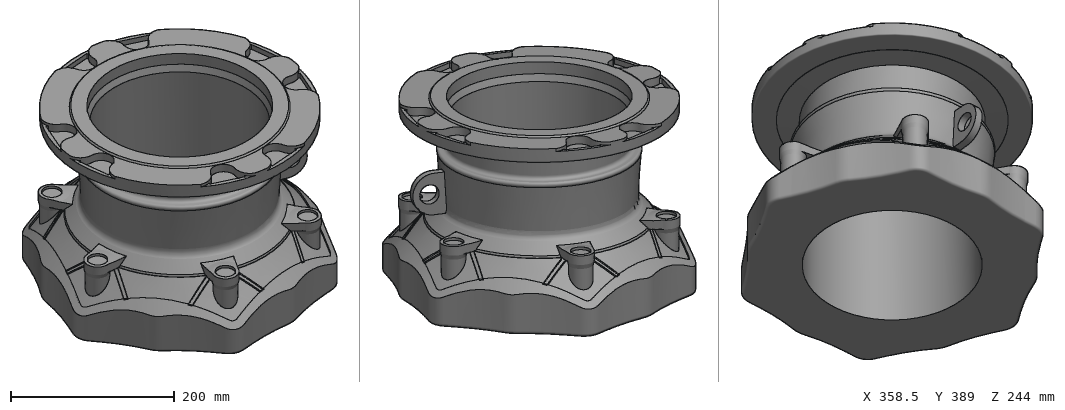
import cadquery as cq
import math

height = 244.0
bore_radius = 220.0 / 2
socket_radius = 227.0 / 2
socket_depth = 15.5
socket_cone_height = 9.0

flange_radius = 343.0 / 2
flange_top = 241.5
flange_bottom = 223.5
flange_edge_fillet = 1.5
face_radius = 133.0
face_foot_radius = 135.0
hub_radius = 141.5
hub_rim_z = 223.0
hub_bottom = 221.0

pocket_angles = [quarter + step for quarter in (0, 90, 180, 270) for step in (0, 60)]
lip_z = 237.8
pocket_floor_z = 230.8
pocket_outer = 165.8
pocket_half_width = 23.0
bulb_center = 151.5
bulb_radius = 16.0
flare_center = 147.5
flare_radius = 20.2

neck_radius = 113.5
neck_bottom = 183.5
neck_fillet = 5.5
collar_top_radius = 123.0
collar_radius = 125.7
collar_z = 175.5
barrel_top_radius = 125.0
barrel_top_z = 172.5
barrel_bottom_radius = 121.5
barrel_bottom_z = 113.5
flare_mid_radius = 122.5
flare_mid_z = 107.8
flare_foot_radius = 127.0

corner_count = 6
corner_step = 360 / corner_count
corner_angles = [corner_step / 2 + corner * corner_step for corner in range(corner_count)]
corner_tip_radius = 194.5
corner_fillet = 24.5
bump_radius = 358.5 / 2
bump_drop = 0.8
bump_half_width = 7.8
scallop_end = 68.0
base_edge_fillet = 4.0
rim_cone = 231.0
shoulder_cone = 229.5
panel_cone = 227.5
rim_inner_apothem = 163.0
rim_inner_fillet = 10.0
panel_top_radius = 140.5
panel_top_z = 89.0
panel_foot_radius = 141.5
panel_foot_z = 86.5
rib_apex_radius = 133.5
rib_half_angle = 60
rib_width = 4.3
rib_reach = 78

boss_distance = 158.5
boss_head_radius = 16.7
boss_post_radius = 15.0
boss_top = 98.5
boss_head_bottom = 87.0
boss_post_top = 81.5
boss_root_distance = 128.5
boss_root_half_width = 21.8
bolt_hole_radius = 25.0 / 2
bolt_hole_depth = 2.5
seat_foot_radius = 22.5
seat_radius = 15.0
seat_height = 1.0

lug_angle = 60
lug_thickness = 10.0
lug_z = 134.3
lug_radius = 27.2
lug_distance = 137.5
lug_root_distance = 116.8
lug_hole_radius = 25.0 / 2
lug_hole_distance = 143.2

half_corner = math.radians(corner_step / 2)


def polar(distance, offset, angle):
    """Point at a radial distance and sideways offset in a frame turned by angle degrees."""
    turn = math.radians(angle)
    x = distance * math.cos(turn) - offset * math.sin(turn)
    y = distance * math.sin(turn) + offset * math.cos(turn)
    return (x, y)


def turned(shape, angle):
    return shape.rotate((0, 0, 0), (0, 0, 1), angle)


def cone(foot_radius):
    """Solid 45 degree cone whose radius at z = 0 is foot_radius."""
    return cq.Workplane("XZ").polyline([(0, 0), (foot_radius, 0), (0, foot_radius)]).close().revolve()


def cylinder(radius, bottom, top):
    return cq.Workplane("XY").workplane(offset=bottom).circle(radius).extrude(top - bottom)


def frustum(bottom_radius, bottom, top_radius, top):
    disc = cq.Workplane("XY").workplane(offset=bottom).circle(bottom_radius)
    return disc.workplane(offset=top - bottom).circle(top_radius).loft()


def base_prism():
    """Hexagon with rounded corners whose sides are scalloped on both sides of a middle bump."""
    vertex = corner_tip_radius + corner_fillet * (1 / math.cos(half_corner) - 1)
    apothem = vertex * math.cos(half_corner)
    fillet_start = (vertex - corner_fillet / math.cos(half_corner)) * math.sin(half_corner)
    bump_edge = bump_radius - bump_drop
    scallop_mid = (bump_half_width + scallop_end) / 2
    scallop_mid_distance = apothem + (bump_edge - apothem) / 4

    outline = cq.Workplane("XY").moveTo(*polar(apothem, -fillet_start, 0))
    for side in range(corner_count):
        angle = side * corner_step
        outline = (
            outline.lineTo(*polar(apothem, -scallop_end, angle))
            .threePointArc(
                polar(scallop_mid_distance, -scallop_mid, angle), polar(bump_edge, -bump_half_width, angle)
            )
            .threePointArc(polar(bump_radius, 0, angle), polar(bump_edge, bump_half_width, angle))
            .threePointArc(
                polar(scallop_mid_distance, scallop_mid, angle), polar(apothem, scallop_end, angle)
            )
            .lineTo(*polar(apothem, fillet_start, angle))
            .threePointArc(
                polar(corner_tip_radius, 0, angle + corner_step / 2),
                polar(apothem, -fillet_start, angle + corner_step),
            )
        )
    prism = outline.close().extrude(shoulder_cone - flare_foot_radius)
    return prism.faces("<Z").edges().fillet(base_edge_fillet)


def inner_hexagon():
    """Prism inside the raised rim band of the base."""
    vertex_diameter = 2 * rim_inner_apothem / math.cos(half_corner)
    hexagon = cq.Workplane("XY").polygon(corner_count, vertex_diameter).extrude(height)
    return turned(hexagon.edges("|Z").fillet(rim_inner_fillet), corner_step / 2)


def corner_ribs():
    """Pair of narrow ribs at each corner, spreading outwards in a V from its apex."""
    ribs = cq.Workplane("XY")
    for corner_angle in corner_angles:
        apex = cq.Workplane("XY").center(rib_apex_radius, 0)
        for side in (-1, 1):
            rib = (
                apex.transformed(rotate=(0, 0, side * rib_half_angle))
                .center(rib_reach / 2, 0)
                .rect(rib_reach, rib_width)
                .extrude(height)
            )
            ribs = ribs.add(turned(rib, corner_angle))
    return ribs.combine()


def shoulder_core():
    """Turned core that bounds the recessed panels with a steep ramp on their inner side."""
    profile = [
        (0, 0),
        (panel_foot_radius, 0),
        (panel_foot_radius, panel_foot_z),
        (panel_top_radius, panel_top_z),
        (panel_top_radius, height),
        (0, height),
    ]
    return cq.Workplane("XZ").polyline(profile).close().revolve()


def base():
    """Conical base with panels recessed between the rim band, the ribs and the shoulder."""
    hexagon = inner_hexagon()
    body = base_prism().intersect(cone(rim_cone))
    body = body.cut(hexagon.cut(cone(shoulder_cone)))
    panels = hexagon.cut(shoulder_core()).cut(corner_ribs())
    return body.cut(panels.cut(cone(panel_cone)))


def barrel():
    """Turned upper body, from inside the base up to the raised sealing face."""
    flare_foot_z = shoulder_cone - flare_foot_radius
    collar_top = neck_bottom - neck_fillet
    return (
        cq.Workplane("XZ")
        .moveTo(0, 0)
        .lineTo(flare_foot_radius, 0)
        .lineTo(flare_foot_radius, flare_foot_z)
        .threePointArc((flare_mid_radius, flare_mid_z), (barrel_bottom_radius, barrel_bottom_z))
        .lineTo(barrel_top_radius, barrel_top_z)
        .threePointArc((collar_radius, collar_z), (collar_top_radius, collar_top))
        .lineTo(neck_radius + neck_fillet, collar_top)
        .radiusArc((neck_radius, neck_bottom), neck_fillet)
        .lineTo(neck_radius, hub_bottom)
        .lineTo(hub_radius, hub_rim_z)
        .lineTo(hub_radius, flange_bottom)
        .lineTo(face_foot_radius, flange_bottom)
        .lineTo(face_foot_radius, flange_top)
        .lineTo(face_radius, height)
        .lineTo(0, height)
        .close()
        .revolve()
    )


def bell_cutter():
    """Bell outline: a round bulb that flares out tangentially to the flange rim."""
    center_gap = bulb_radius + flare_radius
    flare_offset = math.sqrt(center_gap**2 - (bulb_center - flare_center) ** 2)
    meet = bulb_radius / center_gap
    meet_distance = bulb_center + (flare_center - bulb_center) * meet
    meet_offset = flare_offset * meet
    flare_mid = flare_radius * math.sqrt(0.5)
    flare_mid_point = (flare_center + flare_mid, flare_offset - flare_mid)
    flare_end = flare_center + flare_radius
    outside = flare_center + 2 * flare_radius
    return (
        cq.Workplane("XY")
        .workplane(offset=pocket_floor_z)
        .moveTo(outside, -flare_offset)
        .lineTo(flare_end, -flare_offset)
        .threePointArc((flare_mid_point[0], -flare_mid_point[1]), (meet_distance, -meet_offset))
        .threePointArc((bulb_center - bulb_radius, 0), (meet_distance, meet_offset))
        .threePointArc(flare_mid_point, (flare_end, flare_offset))
        .lineTo(outside, flare_offset)
        .close()
        .extrude(height - pocket_floor_z)
    )


def pocket():
    """Cutter for one pocket: shallow over the rim lip, deep further in."""
    bell = bell_cutter()
    lip = cylinder(flare_center + 2 * flare_radius, lip_z, height)
    floor_zone = (
        cq.Workplane("XY")
        .workplane(offset=pocket_floor_z)
        .center(pocket_outer / 2, 0)
        .rect(pocket_outer, 2 * pocket_half_width)
        .extrude(height - pocket_floor_z)
    )
    return bell.intersect(lip.union(floor_zone))


def flange():
    disc = cylinder(flange_radius, flange_bottom, flange_top)
    disc = disc.faces("<Z").edges().fillet(flange_edge_fillet)
    for angle in pocket_angles:
        disc = disc.cut(turned(pocket(), angle))
    return disc


def boss_outline(bottom, top):
    """Round head with a tab that widens as it runs back into the cone."""
    root = boss_root_distance - boss_distance
    tab = (
        cq.Workplane("XY")
        .workplane(offset=bottom)
        .polyline(
            [
                (0, -boss_head_radius),
                (0, boss_head_radius),
                (root, boss_root_half_width),
                (root, -boss_root_half_width),
            ]
        )
        .close()
        .extrude(top - bottom)
    )
    return cylinder(boss_head_radius, bottom, top).union(tab)


def boss():
    """Bolt boss on the +X axis: post, stepped head with a sloped seat, and a shallow bolt hole."""
    seat_top = boss_top + seat_height
    post = cylinder(boss_post_radius, 0, boss_head_bottom)
    step = frustum(boss_post_radius, boss_post_top, boss_head_radius, boss_head_bottom)
    seat = frustum(seat_foot_radius, boss_top, seat_radius, seat_top)
    head = boss_outline(boss_head_bottom, boss_top).union(boss_outline(boss_top, seat_top).intersect(seat))
    hole = cylinder(bolt_hole_radius, boss_top - bolt_hole_depth, height)
    return post.union(step).union(head).cut(hole).translate((boss_distance, 0, 0))


def lug():
    """Upright radial plate with a round end and an eye."""

    def plate(radius, distance):
        return (
            cq.Workplane("XZ")
            .center(distance, lug_z)
            .circle(radius)
            .extrude(lug_thickness / 2, both=True)
        )

    root_length = lug_distance - lug_root_distance
    root = cq.Workplane("XY").box(root_length, lug_thickness, 2 * lug_radius)
    root = root.translate((lug_root_distance + root_length / 2, 0, lug_z))
    eye = plate(lug_radius, lug_distance).union(root).cut(plate(lug_hole_radius, lug_hole_distance))
    return turned(eye, lug_angle)


def bore():
    """Through bore that widens to a socket below the sealing face."""
    socket_floor = height - socket_depth
    return (
        cq.Workplane("XZ")
        .polyline(
            [
                (0, 0),
                (bore_radius, 0),
                (bore_radius, socket_floor - socket_cone_height),
                (socket_radius, socket_floor),
                (socket_radius, height),
                (0, height),
            ]
        )
        .close()
        .revolve()
    )


result = base().union(barrel()).union(flange())
for corner_angle in corner_angles:
    result = result.union(turned(boss(), corner_angle))
result = result.union(lug()).cut(bore())